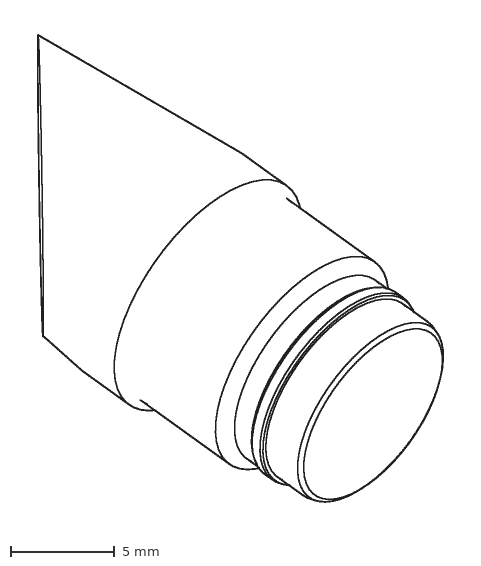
import cadquery as cq
import math

collar_end = 3.0
body_end = 9.3
neck_start = 9.9
bead_start = 11.03
bead_end = 11.85
part_end = 14.05

collar_radius = 6.5
body_radius = 6.0
neck_radius = 5.3
bead_radius = 5.4
spigot_radius = 5.15

shoulder_fillet = collar_radius - body_radius
end_bevel_length = 0.5
end_bevel_drop = 0.35
end_bevel_break_length = 0.33
end_bevel_break_drop = 0.1
bead_lead_in = 0.15
bead_lead_out = 0.15
bead_lead_out_drop = 0.05

overall_length = 27.6
taper_angle = math.radians(5)
slice_angle = math.radians(45)
nose_length = overall_length - part_end
tip_radius = collar_radius - nose_length * math.tan(taper_angle)


def turned_body():
    """Solid of revolution about X, from the nose tip to the spigot end."""
    shoulder_offset = shoulder_fillet * math.cos(math.radians(45))
    shoulder_mid = (collar_end + shoulder_fillet - shoulder_offset, collar_radius - shoulder_offset)
    bevel_start = part_end - end_bevel_length
    bevel_break = (bevel_start + end_bevel_break_length, spigot_radius - end_bevel_break_drop)
    profile = (
        cq.Workplane("XZ")
        .moveTo(-nose_length, 0)
        .lineTo(-nose_length, tip_radius)
        .lineTo(0, collar_radius)
        .lineTo(collar_end, collar_radius)
        .threePointArc(shoulder_mid, (collar_end + shoulder_fillet, body_radius))
        .lineTo(body_end, body_radius)
        .lineTo(neck_start, neck_radius)
        .lineTo(bead_start, neck_radius)
        .lineTo(bead_start + bead_lead_in, bead_radius)
        .lineTo(bead_end - bead_lead_out, bead_radius)
        .lineTo(bead_end, bead_radius - bead_lead_out_drop)
        .lineTo(bead_end, spigot_radius)
        .lineTo(bevel_start, spigot_radius)
        .lineTo(*bevel_break)
        .lineTo(part_end, spigot_radius - end_bevel_drop)
        .lineTo(part_end, 0)
        .close()
    )
    return profile.revolve(360, (0, 0, 0), (1, 0, 0))


def slice_waste():
    """Wedge of material removed from the nose; its sloping side passes through the tip at +Y."""
    drop = 2 * collar_radius + tip_radius
    run = drop / math.tan(slice_angle)
    return (
        cq.Workplane("XY")
        .moveTo(-nose_length, tip_radius)
        .lineTo(-nose_length + run, tip_radius - drop)
        .lineTo(-nose_length - run, tip_radius - drop)
        .lineTo(-nose_length - run, tip_radius)
        .close()
        .extrude(2 * collar_radius, both=True)
    )


result = turned_body().cut(slice_waste())